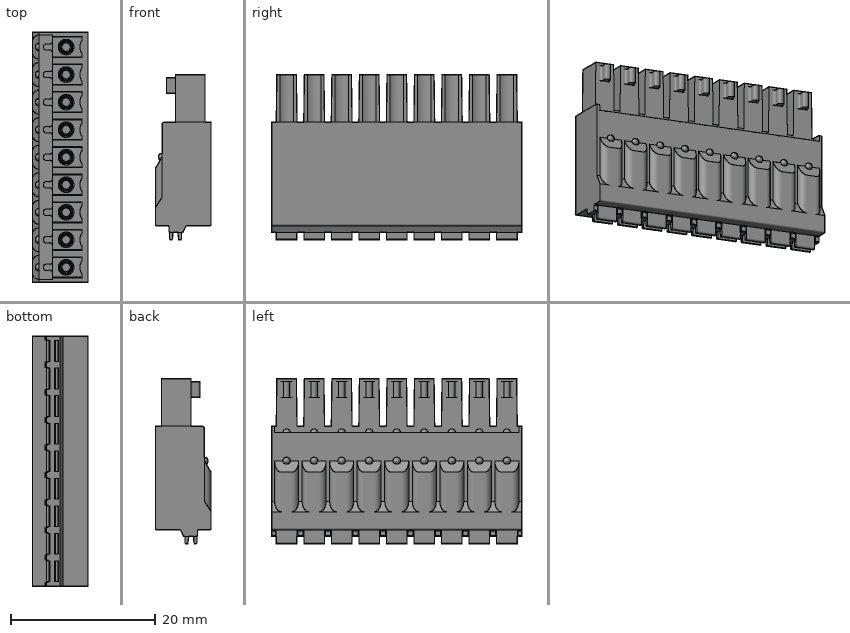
import cadquery as cq


pole_count = 9
pole_pitch = 3.8
row_length = 34.68
pole_centers = [(i - (pole_count - 1) / 2) * pole_pitch for i in range(pole_count)]

housing_depth = 7.75
housing_bottom = 1.95
housing_top = 16.3
upper_face_x = 0.95
sill_top = 4.45
sill_slope_height = 1.45
bottom_round = 0.2
top_front_round = 0.3

ledge_height = 15.4
end_wall = 0.4

foot_front = 1.87
foot_back = 3.8
foot_slope_run = 0.45
foot_bottom = 1.05
foot_root_chamfer = 0.15
foot_chamfer = 0.1

rib_width = 3.33
rib_top = 11.48
rib_slope_height = 1.55

ball_radius = 0.52

plug_front = 2.77
plug_back = 6.9
plug_top = 22.9
plug_top_width = 2.75
plug_base_width = 2.9
scallop_width = 1.87
scallop_depth = 0.3

socket_x = 4.68
mouth_radius = 1.08
step_outer_radius = 0.9
step_inner_radius = 0.75
socket_floor_radius = 0.6
step_depth = 1.05
socket_depth = 1.32

key_front = 1.53
key_bottom = 20.3
key_top = 22.47
key_width = 0.85
key_nose_round = 0.38
key_root_round = 0.3

blade_width = 2.88
blade_front = 1.95
front_blade_root_back = 2.45
front_blade_tip_back = 2.4
back_blade_root_front = 3.1
back_blade_tip_front = 3.23
blade_back = 3.65
tip_chamfer = 0.1
front_tip_round = 0.25
blade_clearance = 0.1
recess_back = 2.15


def extrude_along_row(points, length, center_y=0.0):
    """Extrude an XZ outline along Y, centred on center_y."""
    plane = cq.Workplane("XZ", origin=(0, center_y, 0))
    return plane.polyline(points).close().extrude(length / 2, both=True)


def block(x_range, y_center, width, z_range):
    """Box between two X and two Z values, centred on y_center."""
    size_x = x_range[1] - x_range[0]
    size_z = z_range[1] - z_range[0]
    box = cq.Workplane("XY").box(size_x, width, size_z, centered=(False, True, False))
    return box.translate((x_range[0], y_center, z_range[0]))


def make_housing():
    body = extrude_along_row(
        [
            (0, housing_bottom),
            (housing_depth, housing_bottom),
            (housing_depth, housing_top),
            (upper_face_x, housing_top),
            (upper_face_x, sill_top + sill_slope_height),
            (0, sill_top),
        ],
        row_length,
    )
    body = body.faces("<Z").edges("|Y").fillet(bottom_round)
    body = body.faces(">Z").edges("|Y and <X").fillet(top_front_round)
    ledge = block((0, plug_front), 0, row_length - 2 * end_wall, (ledge_height, housing_top))
    return body.cut(ledge)


def make_foot():
    slope_top = foot_back + foot_slope_run
    inside_housing = housing_bottom + bottom_round
    root_front = foot_front - foot_root_chamfer
    profile = [
        (foot_front + foot_chamfer, foot_bottom),
        (foot_back, foot_bottom),
        (slope_top, housing_bottom),
        (slope_top, inside_housing),
        (root_front, inside_housing),
        (root_front, housing_bottom),
        (foot_front, housing_bottom - foot_root_chamfer),
        (foot_front, foot_bottom + foot_chamfer),
    ]
    foot = extrude_along_row(profile, row_length)
    recess_width = blade_width + 2 * blade_clearance
    for y in pole_centers:
        recess_x = (root_front, recess_back)
        foot = foot.cut(block(recess_x, y, recess_width, (foot_bottom, housing_bottom)))
    return foot


def make_rib(y):
    rib = block((0, 2 * upper_face_x), y, rib_width, (housing_bottom + bottom_round, rib_top))
    rib = rib.faces("<X").edges("|Z").fillet(upper_face_x)
    slope = extrude_along_row(
        [(0, rib_top), (0, rib_top - rib_slope_height), (upper_face_x, rib_top)], rib_width, y
    )
    return rib.cut(slope)


def make_ball(x, y, z):
    return cq.Workplane("XY").sphere(ball_radius).translate((x, y, z))


def make_plug(y):
    mid_x = (plug_front + plug_back) / 2
    depth = plug_back - plug_front
    plug = (
        cq.Workplane("XY", origin=(mid_x, y, housing_top))
        .rect(depth, plug_base_width)
        .workplane(offset=plug_top - housing_top)
        .rect(depth, plug_top_width)
        .loft()
    )
    scallop_radius = (scallop_width**2 / 4 + scallop_depth**2) / (2 * scallop_depth)
    scallop = (
        cq.Workplane("XY", origin=(plug_back - scallop_depth + scallop_radius, y, housing_top))
        .circle(scallop_radius)
        .extrude(plug_top - housing_top)
    )
    return plug.cut(scallop)


def make_socket(y):
    """Revolved cutter: tapered mouth, flat annular step, narrower tapered bore."""
    step_z = plug_top - step_depth
    floor_z = plug_top - socket_depth
    profile = [
        (0, plug_top),
        (mouth_radius, plug_top),
        (step_outer_radius, step_z),
        (step_inner_radius, step_z),
        (socket_floor_radius, floor_z),
        (0, floor_z),
    ]
    cutter = cq.Workplane("XZ").polyline(profile).close().revolve(360, (0, 0, 0), (0, 1, 0))
    return cutter.translate((socket_x, y, 0))


def make_key(y):
    half = key_width / 2
    nose_half = half - key_nose_round
    shoulder_x = key_front + key_nose_round
    root_x = plug_front - key_root_round
    root_half = half + key_root_round
    inside_plug = plug_front + key_root_round
    return (
        cq.Workplane("XY", origin=(0, y, key_bottom))
        .moveTo(key_front, nose_half)
        .radiusArc((shoulder_x, half), key_nose_round)
        .lineTo(root_x, half)
        .radiusArc((plug_front, root_half), -key_root_round)
        .lineTo(inside_plug, root_half)
        .lineTo(inside_plug, -root_half)
        .lineTo(plug_front, -root_half)
        .radiusArc((root_x, -half), -key_root_round)
        .lineTo(shoulder_x, -half)
        .radiusArc((key_front, -nose_half), key_nose_round)
        .close()
        .extrude(key_top - key_bottom)
    )


def make_blades(y):
    root_z = housing_bottom + bottom_round
    front_blade = [
        (blade_front, root_z),
        (blade_front, 0),
        (front_blade_tip_back - tip_chamfer, 0),
        (front_blade_tip_back, tip_chamfer),
        (front_blade_root_back, foot_bottom),
        (front_blade_root_back, root_z),
    ]
    back_blade = [
        (back_blade_root_front, root_z),
        (back_blade_root_front, foot_bottom),
        (back_blade_tip_front, 0),
        (blade_back - tip_chamfer, 0),
        (blade_back, tip_chamfer),
        (blade_back, root_z),
    ]
    front = extrude_along_row(front_blade, blade_width, y)
    front = front.faces("<X").edges("<Z").fillet(front_tip_round)
    return front.union(extrude_along_row(back_blade, blade_width, y))


result = make_housing().union(make_foot())
for pole_y in pole_centers:
    result = result.union(make_rib(pole_y))
    result = result.union(make_ball(upper_face_x, pole_y, rib_top))
    result = result.union(make_ball(plug_front, pole_y, ledge_height))
    result = result.union(make_plug(pole_y))
    result = result.union(make_key(pole_y))
    result = result.cut(make_socket(pole_y))
    result = result.union(make_blades(pole_y))